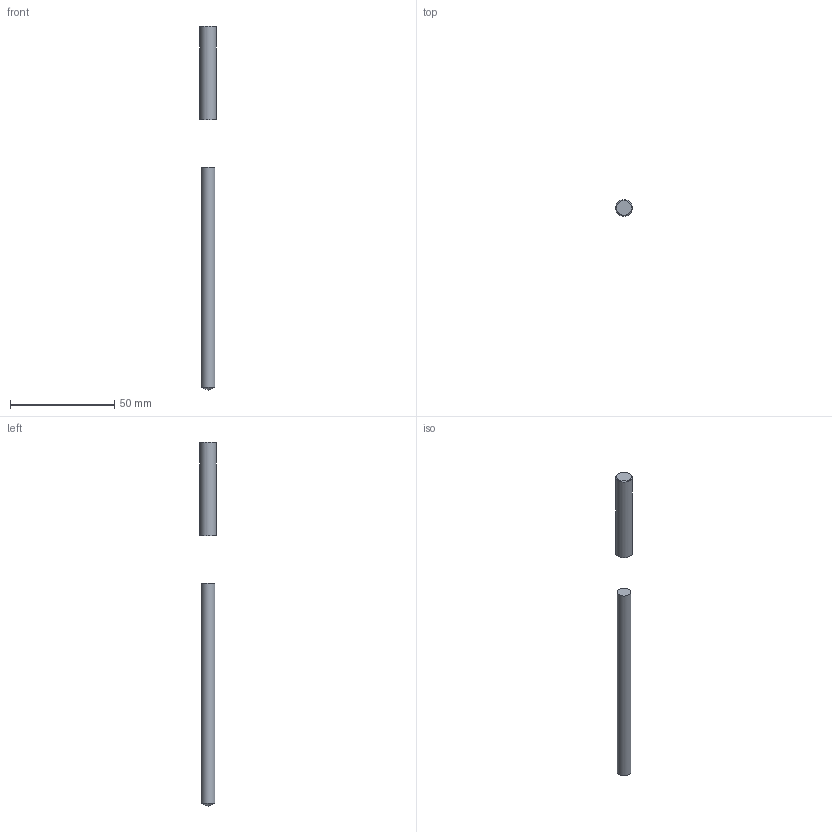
import cadquery as cq
import math

pin_diameter = 8.0
pin_length = 45.0
pin_chamfer = 0.4

gap = 23.0

rod_diameter = 6.7
rod_length = 107.0
point_angle = 140.0

rod_radius = rod_diameter / 2
point_height = rod_radius / math.tan(math.radians(point_angle / 2))
pin_bottom = rod_length + gap


def make_pin():
    """Chamfered cylinder standing above the rod on the same axis."""
    base = cq.Workplane("XY", origin=(0, 0, pin_bottom))
    cylinder = base.circle(pin_diameter / 2).extrude(pin_length)
    return cylinder.faces(">Z").chamfer(pin_chamfer)


def make_rod():
    """Round rod on the Z axis, with the tip of its conical point at the origin."""
    half_outline = (
        cq.Workplane("XZ")
        .moveTo(0, 0)
        .lineTo(rod_radius, point_height)
        .lineTo(rod_radius, rod_length)
        .lineTo(0, rod_length)
        .close()
    )
    return half_outline.revolve(360, (0, 0, 0), (0, 1, 0))


pin = make_pin()
rod = make_rod()

result = cq.Compound.makeCompound([pin.val(), rod.val()])